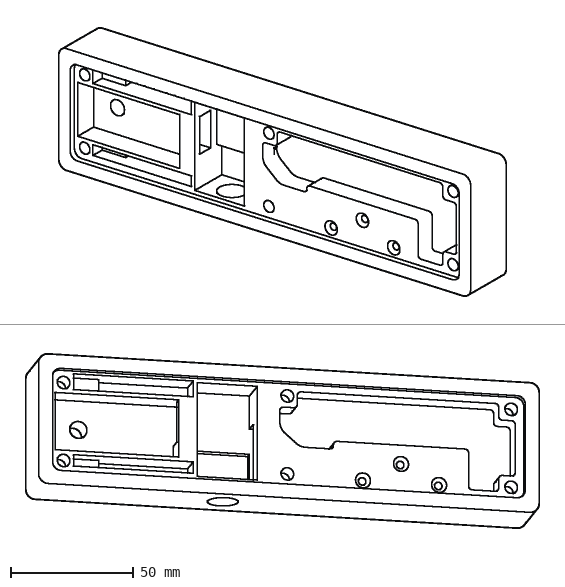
import cadquery as cq
LENGTH = 209.5
DEPTH = 24.5
HEIGHT = 55.0
CORNER_RADIUS = 4.0

STEP_Z = -4.8

RIM_WIDTH = 5.9
RECESS_DEPTH = 3.0
RECESS_RADIUS = 3.5

LID_SCREW_X = 93.6
LID_SCREW_Z = 16.5
LID_SCREW_DIAMETER = 5.2
LID_SCREW_DEPTH = 8.4

BATTERY_LEFT = -97.2
BATTERY_RIGHT = -45.5
BATTERY_HALF_HEIGHT = 12.2
BATTERY_DEPTH = 10.9
BATTERY_HOLE_X = -85.0
BATTERY_HOLE_DIAMETER = 7.1

CHANNEL_LEFT = -89.5
CHANNEL_STEP = -77.5
CHANNEL_RIGHT = -39.4
CHANNEL_INNER_Z = 13.8
UPPER_CHANNEL_OUTER_Z = 20.5
LOWER_CHANNEL_OUTER_Z = 18.6
CHANNEL_DEPTH = BATTERY_DEPTH
CHANNEL_END_DEPTH = 6.3

BAY_LEFT = -37.7
BAY_RIGHT = -12.5
BAY_HALF_HEIGHT = 20.0
BAY_DEPTH = 15.0
BAY_LOWER_DEPTH = 18.6
BAY_OUTLET_RADIUS = 6.3
BAY_OUTLET_DEPTH = 8.5

BATTERY_PASSAGE_ROOF = 3.5
RIGHT_PASSAGE_ROOF = 8.0
RIGHT_PASSAGE_BOTTOM = -18.2
RIGHT_PASSAGE_TOP = 5.9

BOARD_LEFT = -3.1
BOARD_RIGHT = 95.3
BOARD_HALF_HEIGHT = 18.6
BOARD_DEPTH = 9.6
BOARD_FILLET = 1.57
BOSS_LEFT_EDGE = 4.2
BOSS_RIGHT_EDGE = 88.5
BOSS_EDGE_Z = 11.7
LEDGE_LEFT = 19.3
LEDGE_RIGHT = 75.8
LEDGE_Z = -1.5
SLANT_TOP_Z = 2.5
SLANT_BOTTOM_X = 5.5
SLANT_FILLET = 5.9

MOUNT_X = 47.5
MOUNT_Z = -9.5
MOUNT_PITCH_X = 16.0
MOUNT_PITCH_Z = 8.0
MOUNT_DIAMETER = 3.1
MOUNT_HEAD_DIAMETER = 6.3
MOUNT_HEAD_ANGLE = 90


def on_front(depth):
    """Workplane parallel to the front face, at a depth behind it, with local Z facing forward."""
    return cq.Workplane("XZ", origin=(0, depth, 0))


def pocket(x_min, x_max, z_min, z_max, depth, roof=0.0):
    """Box running from `roof` to `depth` behind the recess floor."""
    centre_x = (x_min + x_max) / 2
    centre_z = (z_min + z_max) / 2
    return (
        on_front(RECESS_DEPTH + roof)
        .center(centre_x, centre_z)
        .rect(x_max - x_min, z_max - z_min)
        .extrude(roof - depth)
    )


def rounded_block(length, height, depth, radius):
    return on_front(0).rect(length, height).extrude(-depth).edges("|Y").fillet(radius)


def battery_pocket():
    hole = on_front(0).center(BATTERY_HOLE_X, 0).circle(BATTERY_HOLE_DIAMETER / 2).extrude(-DEPTH)
    return pocket(
        BATTERY_LEFT, BATTERY_RIGHT, -BATTERY_HALF_HEIGHT, BATTERY_HALF_HEIGHT, BATTERY_DEPTH
    ).union(hole)


def side_channel(z_min, z_max):
    """Long groove with a shallower left end."""
    shallow_end = pocket(CHANNEL_LEFT, CHANNEL_STEP, z_min, z_max, CHANNEL_END_DEPTH)
    return pocket(CHANNEL_STEP, CHANNEL_RIGHT, z_min, z_max, CHANNEL_DEPTH).union(shallow_end)


def connector_bay():
    bay = pocket(BAY_LEFT, BAY_RIGHT, -BAY_HALF_HEIGHT, BAY_HALF_HEIGHT, BAY_DEPTH)
    lower = pocket(BAY_LEFT, BAY_RIGHT, -BAY_HALF_HEIGHT, STEP_Z, BAY_LOWER_DEPTH)
    outlet = (
        cq.Workplane("XY", origin=(0, 0, -HEIGHT / 2))
        .center((BAY_LEFT + BAY_RIGHT) / 2, RECESS_DEPTH + BAY_OUTLET_DEPTH)
        .circle(BAY_OUTLET_RADIUS)
        .extrude(HEIGHT / 2 + STEP_Z)
    )
    return bay.union(lower).union(outlet)


def cable_passages():
    to_battery = pocket(
        BATTERY_RIGHT, BAY_LEFT, STEP_Z, BATTERY_HALF_HEIGHT, BATTERY_DEPTH, BATTERY_PASSAGE_ROOF
    )
    to_board = pocket(
        BAY_RIGHT, BOARD_LEFT, RIGHT_PASSAGE_BOTTOM, RIGHT_PASSAGE_TOP, BAY_DEPTH, RIGHT_PASSAGE_ROOF
    )
    return to_battery.union(to_board)


def board_pocket():
    outline = [
        (BOSS_LEFT_EDGE, BOARD_HALF_HEIGHT),
        (BOSS_RIGHT_EDGE, BOARD_HALF_HEIGHT),
        (BOSS_RIGHT_EDGE, BOSS_EDGE_Z),
        (BOARD_RIGHT, BOSS_EDGE_Z),
        (BOARD_RIGHT, -BOSS_EDGE_Z),
        (BOSS_RIGHT_EDGE, -BOSS_EDGE_Z),
        (BOSS_RIGHT_EDGE, -BOARD_HALF_HEIGHT),
        (LEDGE_RIGHT, -BOARD_HALF_HEIGHT),
        (LEDGE_RIGHT, LEDGE_Z),
        (LEDGE_LEFT, LEDGE_Z),
        (LEDGE_LEFT, STEP_Z),
        (SLANT_BOTTOM_X, STEP_Z),
        (BOARD_LEFT, SLANT_TOP_Z),
        (BOARD_LEFT, BOSS_EDGE_Z),
        (BOSS_LEFT_EDGE, BOSS_EDGE_Z),
    ]
    blank = on_front(RECESS_DEPTH).polyline(outline).close().extrude(-BOARD_DEPTH)
    middle_y = RECESS_DEPTH + BOARD_DEPTH / 2
    slant_top = cq.selectors.NearestToPointSelector((BOARD_LEFT, middle_y, SLANT_TOP_Z))
    slant_bottom = cq.selectors.NearestToPointSelector((SLANT_BOTTOM_X, middle_y, STEP_Z))
    slant_edges = slant_top + slant_bottom
    corner_edges = cq.selectors.ParallelDirSelector(cq.Vector(0, 1, 0)) - slant_edges
    rounded = blank.edges(corner_edges).fillet(BOARD_FILLET)
    return rounded.edges(slant_edges).fillet(SLANT_FILLET)


lid_screws = [(x, z) for x in (-LID_SCREW_X, 0, LID_SCREW_X) for z in (-LID_SCREW_Z, LID_SCREW_Z)]
lid_screw_holes = (
    on_front(RECESS_DEPTH)
    .pushPoints(lid_screws)
    .circle(LID_SCREW_DIAMETER / 2)
    .extrude(-LID_SCREW_DEPTH)
)

mounts = [
    (MOUNT_X, MOUNT_Z),
    (MOUNT_X - MOUNT_PITCH_X, MOUNT_Z - MOUNT_PITCH_Z),
    (MOUNT_X + MOUNT_PITCH_X, MOUNT_Z - MOUNT_PITCH_Z),
]

result = (
    rounded_block(LENGTH, HEIGHT, DEPTH, CORNER_RADIUS)
    .cut(rounded_block(LENGTH - 2 * RIM_WIDTH, HEIGHT - 2 * RIM_WIDTH, RECESS_DEPTH, RECESS_RADIUS))
    .cut(lid_screw_holes)
    .cut(battery_pocket())
    .cut(side_channel(CHANNEL_INNER_Z, UPPER_CHANNEL_OUTER_Z))
    .cut(side_channel(-LOWER_CHANNEL_OUTER_Z, -CHANNEL_INNER_Z))
    .cut(connector_bay())
    .cut(cable_passages())
    .cut(board_pocket())
)
result = (
    result.copyWorkplane(on_front(RECESS_DEPTH))
    .pushPoints(mounts)
    .cskHole(MOUNT_DIAMETER, MOUNT_HEAD_DIAMETER, MOUNT_HEAD_ANGLE)
)